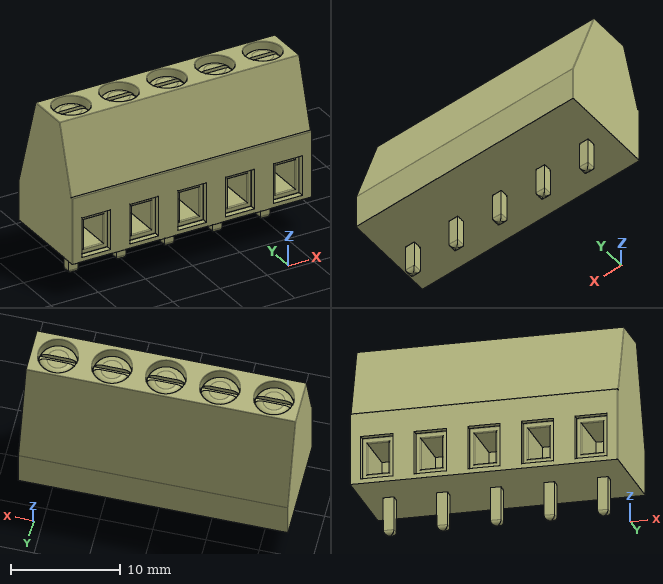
import cadquery as cq
pole_count = 5
pitch = 5.08
length = pole_count * pitch
depth = 9.8
body_height = 13.8
pin_length = 3.6

ledge_depth = 0.23
ledge_height = 6.9
top_front = 2.3
top_back = 6.7
rear_wall_height = 4.11
edge_radius = 0.05

mouth_width = 3.05
mouth_height = 4.15
mouth_bottom = 0.45
mouth_depth = 0.5
cavity_width = 2.03
cavity_height = 3.0
cavity_depth = 5.08
clamp_rim_radius = 0.1

centre_y = 4.6
well_diameter = 3.68
crown_recess = 0.5
dome_edge_radius = 0.85
slot_width = 0.5
slot_depth = 0.5

pin_width = 1.02
pin_thickness = 0.9
pin_tip_radius = 0.4

pole_positions = [(i - (pole_count - 1) / 2) * pitch for i in range(pole_count)]
entry_centre_z = mouth_bottom + mouth_height / 2


def make_housing():
    """Sloped-sided housing extruded along X, with a narrow ledge above the front wall."""
    profile = [
        (0, 0),
        (depth, 0),
        (depth, rear_wall_height),
        (top_back, body_height),
        (top_front, body_height),
        (ledge_depth, ledge_height),
        (0, ledge_height),
    ]
    housing = cq.Workplane("YZ").polyline(profile).close().extrude(length / 2, both=True)
    inner_corner = cq.NearestToPointSelector((0, ledge_depth, ledge_height))
    return housing.edges(cq.StringSyntaxSelector("not <Z") - inner_corner).fillet(edge_radius)


def make_entry_box(x, y_start, y_end, width, height):
    """Box centred on a wire entry that spans y_start to y_end."""
    box = cq.Workplane("XY").box(width, y_end - y_start, height, centered=(True, False, True))
    return box.translate((x, y_start, entry_centre_z))


def make_wire_entry(x):
    """Material to remove for one entry: the mouth less the clamp tube standing inside it."""
    y_end = mouth_depth + cavity_depth
    mouth = make_entry_box(x, 0, y_end, mouth_width, mouth_height)
    clamp = make_entry_box(x, mouth_depth, y_end, mouth_width, mouth_height)
    cavity = make_entry_box(x, mouth_depth, y_end, cavity_width, cavity_height)
    clamp = clamp.cut(cavity).faces("<Y").edges().fillet(clamp_rim_radius)
    return mouth.cut(clamp)


def make_screw_well(x):
    """Material to remove for one well, leaving a slotted domed screw head at its floor."""
    crown_radius = well_diameter / 2 - dome_edge_radius
    rim_radius = well_diameter / 2 + edge_radius
    slot_floor = body_height - crown_recess - slot_depth
    half_section = (
        cq.Workplane("XZ", origin=(0, 0, body_height))
        .lineTo(0, -crown_recess)
        .lineTo(crown_radius, -crown_recess)
        .radiusArc((well_diameter / 2, -crown_recess - dome_edge_radius), dome_edge_radius)
        .lineTo(well_diameter / 2, -edge_radius)
        .radiusArc((rim_radius, 0), edge_radius)
        .close()
    )
    well = half_section.revolve(360, (0, 0, 0), (0, 1, 0))
    slot_bounds = cq.Workplane("XY", origin=(0, 0, slot_floor)).rect(well_diameter, slot_width)
    slot_block = slot_bounds.extrude(crown_recess)
    shaft = cq.Workplane("XY", origin=(0, 0, slot_floor)).circle(well_diameter / 2).extrude(slot_depth)
    return well.union(slot_block.intersect(shaft)).translate((x, centre_y, 0))


def make_pin(x):
    """Rectangular solder pin with a rounded tip, hanging from the underside."""
    return (
        cq.Workplane("XY", origin=(x, centre_y, 0))
        .rect(pin_width, pin_thickness)
        .extrude(-pin_length)
        .faces("<Z")
        .edges()
        .fillet(pin_tip_radius)
    )


result = make_housing()
for pole_x in pole_positions:
    result = result.cut(make_wire_entry(pole_x))
    result = result.cut(make_screw_well(pole_x))
    result = result.union(make_pin(pole_x))